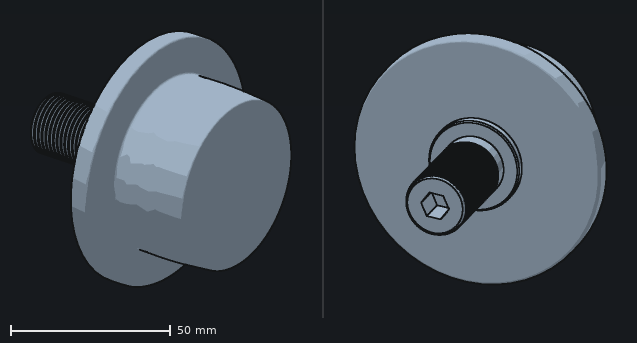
import cadquery as cq
import math

overall_length = 75.0

stud_radius = 10.0
tip_chamfer = 0.8

thread_pitch = 1.5
thread_depth = 0.7
groove_width = 1.0
last_groove_x = 31.9
groove_end_angle = 30
groove_overcut = 0.25

socket_across_flats = 8.0
socket_depth = 10.0
socket_tilt = 6.5

collar_start = 36.9
collar_radius = 15.0
collar_chamfer = 0.5

flange_start = 40.0
flange_radius = 41.0
flange_rim_width = 7.0
flange_fillet = 1.0
flange_taper = 1.1

tread_start_radius = 28.9
tread_crown_radius = 29.0
tread_crown_x = 57.7
tread_end_radius = 28.05
tread_root_fillet = 0.8
tread_end_fillet = 0.7

flange_rim_end = flange_start + flange_rim_width
tread_start = flange_rim_end + flange_taper


def make_body():
    """Stud, collar, flange and crowned tread, turned about X in one piece."""
    profile = (
        cq.Workplane("XY")
        .moveTo(0, 0)
        .lineTo(0, stud_radius - tip_chamfer)
        .lineTo(tip_chamfer, stud_radius)
        .lineTo(collar_start, stud_radius)
        .lineTo(collar_start, collar_radius - collar_chamfer)
        .lineTo(collar_start + collar_chamfer, collar_radius)
        .lineTo(flange_start, collar_radius)
        .lineTo(flange_start, flange_radius)
        .lineTo(flange_rim_end, flange_radius)
        .lineTo(tread_start, tread_start_radius)
        .threePointArc((tread_crown_x, tread_crown_radius), (overall_length, tread_end_radius))
        .lineTo(overall_length, 0)
        .close()
    )
    return profile.revolve(360, (0, 0, 0), (1, 0, 0))


def circle_at(x, radius):
    """Selector for the circular edges inside a thin box around the given place on the axis."""
    reach = 0.04
    return cq.selectors.BoxSelector(
        (x - reach, -radius - reach, -radius - reach),
        (x + reach, radius + reach, radius + reach),
        boundingbox=True,
    )


def round_edges(body):
    """Fillet the flange rim, the root of the tread and the outer end of the tread."""
    rim = body.edges(circle_at(flange_start, flange_radius) - circle_at(flange_start, collar_radius))
    body = rim.fillet(flange_fillet)
    body = body.edges(circle_at(flange_rim_end, flange_radius)).fillet(flange_fillet)
    body = body.edges(circle_at(tread_start, tread_start_radius)).fillet(tread_root_fillet)
    return body.edges(circle_at(overall_length, tread_end_radius)).fillet(tread_end_fillet)


def make_thread_groove():
    """Right-handed helical V groove running from beyond the tip to the plain shank."""
    turns = math.ceil((last_groove_x + groove_width) / thread_pitch)
    groove_start = last_groove_x - turns * thread_pitch
    root_radius = stud_radius - thread_depth
    top_radius = stud_radius + groove_overcut
    half_width = groove_width / 2 * (thread_depth + groove_overcut) / thread_depth

    helix = cq.Wire.makeHelix(thread_pitch, turns * thread_pitch, root_radius)
    section = cq.Workplane("XZ").polyline(
        [(root_radius, 0), (top_radius, half_width), (top_radius, -half_width)]
    ).close()
    groove = section.sweep(cq.Workplane(obj=helix), isFrenet=True)
    groove = groove.rotate((0, 0, 0), (0, 1, 0), 90)
    groove = groove.rotate((0, 0, 0), (1, 0, 0), groove_end_angle)
    return groove.translate((groove_start, 0, 0))


def make_socket():
    """Hexagonal key socket sunk into the stud tip."""
    across_corners = socket_across_flats / math.cos(math.radians(30))
    socket = cq.Workplane("YZ").polygon(6, across_corners).extrude(socket_depth)
    return socket.rotate((0, 0, 0), (1, 0, 0), socket_tilt)


result = round_edges(make_body()).cut(make_thread_groove()).cut(make_socket())